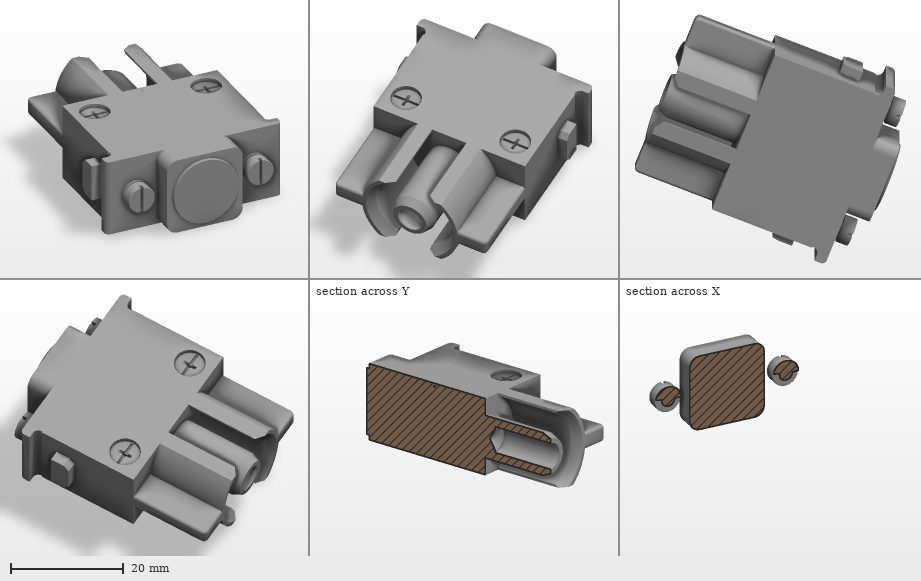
import cadquery as cq
import math

LENGTH = 42.5
FLANGE_WIDTH = 34.5
HEIGHT = 14.6

BODY_WIDTH = 30.45
BODY_START = 15.0
BODY_END = 37.4
FLANGE_START = 35.4
FLANGE_CORNER = 0.9
GROOVE_START = 34.1
GROOVE_DEPTH = 0.15
GROOVE_FLOOR_END = 34.5
GROOVE_ARC_RADIUS = 1.1

TAB_START = 27.33
TAB_END = 31.02
TAB_SPAN = 34.25
TAB_HEIGHT = 6.93
TAB_CHAMFER_X = 1.05
TAB_CHAMFER_Z = 0.95

SHROUD_RADIUS = 9.6
SHROUD_BORE_RADIUS = 7.65
SHROUD_FLARE = 1.15
SHROUD_FLARE_LENGTH = 1.75
SHROUD_GAP = 6.9

WING_THICKNESS = 3.1
WING_CORNER = 0.9
WING_EDGE_FILLET = 0.5

PIN_RADIUS = 4.12
PIN_TIP_RADIUS = 3.35
PIN_TAPER_LENGTH = 1.8
PIN_BORE_RADIUS = 2.42
PIN_BORE_DEPTH = 12.75
DRILL_RADIUS = 2.1
DRILL_POINT_ANGLE = 118.0

NECK_END = 41.9
NECK_WIDTH = 14.85
NECK_CORNER = 2.0
DISC_RADIUS = 6.38
DISC_CHAMFER = 0.1

TOP_SCREW_X = 19.4
TOP_SCREW_Y = 10.95
RECESS_RADIUS = 2.8
RECESS_DEPTH = 0.65
HEAD_GAP = 0.25
HEAD_GAP_DEPTH = 0.25
DRIVE_SLOT_WIDTH = 0.6
DRIVE_SLOT_DEPTH = 0.6
CROSS_LENGTH = 2.7
CROSS_FLOOR_LENGTH = 0.95
CROSS_DEPTH = 1.2
CROSS_POINT_DEPTH = 1.35
CROSS_CORE_RADIUS = 0.55

REAR_SCREW_Y = 11.7
REAR_HEAD_START = 38.12
REAR_HEAD_END = 40.45
REAR_HEAD_RADIUS = 2.55
REAR_HEAD_FILLET = 0.15
REAR_SLOT_WIDTH = 0.6
REAR_SLOT_DEPTH = 0.9
SHANK_RADIUS = 1.3
SHANK_OVERLAP = 0.42
WASHER_BORE_RADIUS = 1.25
WASHER_RISE = 0.15
WASHER_THICKNESS = 0.5
SEAT_OVERLAP = 0.1


def x_block(x_start, x_end, width, height):
    """Box between two X positions, centred on Y and Z."""
    start_plane = cq.Workplane("YZ", origin=(x_start, 0, 0))
    return start_plane.rect(width, height).extrude(x_end - x_start)


def x_cylinder(x_start, x_end, radius):
    """Round bar centred on the X axis."""
    return cq.Workplane("YZ", origin=(x_start, 0, 0)).circle(radius).extrude(x_end - x_start)


def revolve_about_x(profile):
    """Turn a closed (x, radius) profile about the X axis."""
    return cq.Workplane("XY").polyline(profile).close().revolve(360, (0, 0, 0), (1, 0, 0))


def make_housing():
    """Housing block with side grooves in front of the rear flange."""
    half_body = BODY_WIDTH / 2
    half_flange = FLANGE_WIDTH / 2
    groove_y = half_body - GROOVE_DEPTH
    outline = (
        cq.Workplane("XY", origin=(0, 0, -HEIGHT / 2))
        .moveTo(BODY_START, 0)
        .lineTo(BODY_START, half_body)
        .lineTo(GROOVE_START, half_body)
        .lineTo(GROOVE_START, groove_y)
        .lineTo(GROOVE_FLOOR_END, groove_y)
        .radiusArc((FLANGE_START, groove_y + GROOVE_ARC_RADIUS), -GROOVE_ARC_RADIUS)
        .lineTo(FLANGE_START, half_flange)
        .lineTo(BODY_END - FLANGE_CORNER, half_flange)
        .radiusArc((BODY_END, half_flange - FLANGE_CORNER), FLANGE_CORNER)
        .lineTo(BODY_END, 0)
        .mirrorX()
    )
    return outline.extrude(HEIGHT)


def make_tabs():
    """Locking tabs on both sides, chamfered toward the mating end."""
    half_height = TAB_HEIGHT / 2
    outline = [
        (TAB_START, half_height - TAB_CHAMFER_Z),
        (TAB_START + TAB_CHAMFER_X, half_height),
        (TAB_END, half_height),
        (TAB_END, -half_height),
        (TAB_START + TAB_CHAMFER_X, -half_height),
        (TAB_START, -half_height + TAB_CHAMFER_Z),
    ]
    return cq.Workplane("XZ").polyline(outline).close().extrude(TAB_SPAN / 2, both=True)


def make_shroud():
    """Two shroud shells with guide wings, trimmed flush with the housing."""
    wings = (
        x_block(0, BODY_START, BODY_WIDTH, WING_THICKNESS)
        .edges("|Z and <X")
        .fillet(WING_CORNER)
        .faces(">Z or <Z")
        .edges("not >X")
        .fillet(WING_EDGE_FILLET)
    )
    bore = revolve_about_x(
        [
            (0, 0),
            (0, SHROUD_BORE_RADIUS + SHROUD_FLARE),
            (SHROUD_FLARE_LENGTH, SHROUD_BORE_RADIUS),
            (BODY_START, SHROUD_BORE_RADIUS),
            (BODY_START, 0),
        ]
    )
    return (
        x_cylinder(0, BODY_START, SHROUD_RADIUS)
        .union(wings)
        .intersect(x_block(0, BODY_START, BODY_WIDTH, HEIGHT))
        .cut(bore)
        .cut(x_block(0, BODY_START, SHROUD_GAP, HEIGHT))
    )


def make_pin():
    """Tapered pin with a blind bore that ends in a drill point."""
    drill_tip = PIN_BORE_DEPTH + DRILL_RADIUS / math.tan(math.radians(DRILL_POINT_ANGLE / 2))
    return revolve_about_x(
        [
            (0, PIN_BORE_RADIUS),
            (0, PIN_TIP_RADIUS),
            (PIN_TAPER_LENGTH, PIN_RADIUS),
            (BODY_START, PIN_RADIUS),
            (BODY_START, 0),
            (drill_tip, 0),
            (PIN_BORE_DEPTH, DRILL_RADIUS),
            (PIN_BORE_DEPTH, PIN_BORE_RADIUS),
        ]
    )


def make_rear_neck():
    """Rounded neck behind the flange, ending in a shallow disc."""
    neck = x_block(BODY_END, NECK_END, NECK_WIDTH, HEIGHT).edges("|X").fillet(NECK_CORNER)
    disc = x_cylinder(NECK_END, LENGTH, DISC_RADIUS).faces(">X").chamfer(DISC_CHAMFER)
    return neck.union(disc)


def make_top_screw_cut(y):
    """Recess that leaves a sunken screw head with a slot and a cross drive."""
    head_z = HEIGHT / 2 - RECESS_DEPTH
    head_radius = RECESS_RADIUS - HEAD_GAP
    floor = cq.Workplane("XY", origin=(TOP_SCREW_X, y, head_z))
    recess = floor.circle(RECESS_RADIUS).extrude(RECESS_DEPTH)
    gap = floor.circle(RECESS_RADIUS).circle(head_radius).extrude(-HEAD_GAP_DEPTH)
    slot = floor.rect(DRIVE_SLOT_WIDTH, 2 * head_radius).extrude(-DRIVE_SLOT_DEPTH)
    cross = (
        cq.Workplane("XZ", origin=(TOP_SCREW_X, y, head_z))
        .moveTo(-CROSS_LENGTH / 2, 0)
        .lineTo(-CROSS_FLOOR_LENGTH / 2, -CROSS_DEPTH)
        .lineTo(0, -CROSS_POINT_DEPTH)
        .lineTo(CROSS_FLOOR_LENGTH / 2, -CROSS_DEPTH)
        .lineTo(CROSS_LENGTH / 2, 0)
        .close()
        .extrude(DRIVE_SLOT_WIDTH / 2, both=True)
    )
    core = floor.circle(CROSS_CORE_RADIUS).extrude(-DRIVE_SLOT_DEPTH)
    return recess.union(gap).union(slot).union(cross).union(core)


def make_spring_washer():
    """Split washer wound one turn about X, with its split toward -Y."""
    seat = BODY_END - SEAT_OVERLAP
    ring_width = REAR_HEAD_RADIUS - WASHER_BORE_RADIUS
    mean_radius = WASHER_BORE_RADIUS + ring_width / 2
    path = cq.Wire.makeHelix(WASHER_RISE, WASHER_RISE, mean_radius)
    washer = (
        cq.Workplane("XZ", origin=(mean_radius, 0, WASHER_THICKNESS / 2))
        .rect(ring_width, WASHER_THICKNESS)
        .sweep(cq.Workplane(path).translate((0, 0, WASHER_THICKNESS / 2)), isFrenet=True)
    )
    split_toward_minus_y = washer.rotate((0, 0, 0), (0, 0, 1), -90)
    return split_toward_minus_y.rotate((0, 0, 0), (0, 1, 0), 90).translate((seat, 0, 0))


def make_rear_screw():
    """Slotted cheese-head screw with its spring washer, centred on the X axis."""
    shank = x_cylinder(BODY_END - SHANK_OVERLAP, REAR_HEAD_END - REAR_SLOT_DEPTH, SHANK_RADIUS)
    slot = x_block(REAR_HEAD_END - REAR_SLOT_DEPTH, REAR_HEAD_END, REAR_SLOT_WIDTH, 2 * REAR_HEAD_RADIUS)
    head = (
        x_cylinder(REAR_HEAD_START, REAR_HEAD_END, REAR_HEAD_RADIUS)
        .edges()
        .fillet(REAR_HEAD_FILLET)
        .cut(slot)
    )
    return shank.union(head).union(make_spring_washer())


result = make_housing().union(make_tabs()).union(make_shroud()).union(make_pin()).union(make_rear_neck())
rear_screw = make_rear_screw()
for side in (-1, 1):
    result = result.cut(make_top_screw_cut(side * TOP_SCREW_Y))
    result = result.union(rear_screw.translate((0, side * REAR_SCREW_Y, 0)))